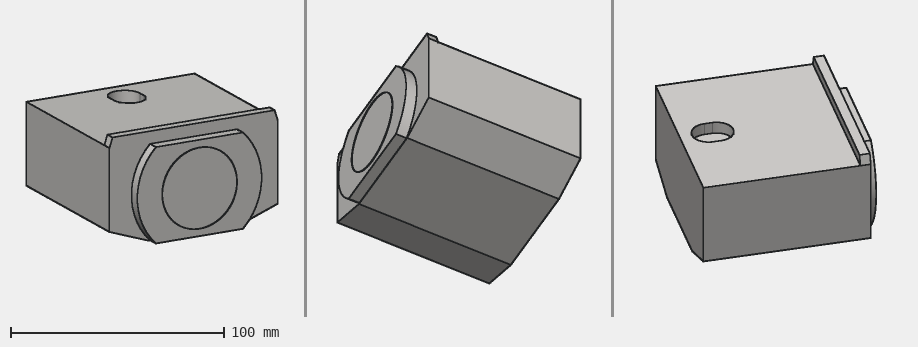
import cadquery as cq

body_length = 81.0
body_width = 90.0
body_height = 49.0

bevel_height = 7.65
bevel_width = 21.3

lip_thickness = 5.0
lip_height = 5.0
lip_end_taper = 1.65

total_length = 87.0
disc_thickness = 0.3
disc_diameter = 40.01
boss_length = total_length - body_length - disc_thickness
boss_diameter = 66.5
boss_height = 47.5
boss_bottom = 0.25
boss_center_z = boss_bottom + boss_height / 2

slot_length = 20.0
slot_width = 16.0
slot_depth = 6.0
slot_center_x = 16.0


def make_body():
    """Block with both lower long edges bevelled."""
    half_width = body_width / 2
    half_bottom = half_width - bevel_width
    outline = [
        (-half_bottom, 0),
        (half_bottom, 0),
        (half_width, bevel_height),
        (half_width, body_height),
        (-half_width, body_height),
        (-half_width, bevel_height),
    ]
    return cq.Workplane("YZ").polyline(outline).close().extrude(body_length)


def make_lip():
    """Raised bar, narrower at its top than at its foot."""
    half_foot = body_width / 2
    half_top = half_foot - lip_end_taper
    lip_top = body_height + lip_height
    outline = [
        (-half_foot, body_height),
        (half_foot, body_height),
        (half_top, lip_top),
        (-half_top, lip_top),
    ]
    lip_plane = cq.Workplane("YZ", origin=(body_length - lip_thickness, 0, 0))
    return lip_plane.polyline(outline).close().extrude(lip_thickness)


def make_boss():
    """Cylinder along X trimmed by two horizontal flats."""
    boss_plane = cq.Workplane("YZ", origin=(body_length, 0, boss_center_z))
    cylinder = boss_plane.circle(boss_diameter / 2).extrude(boss_length)
    flat_limits = boss_plane.rect(boss_diameter, boss_height).extrude(boss_length)
    return cylinder.intersect(flat_limits)


def make_disc():
    """Thin disc on the end of the boss, concentric with it."""
    disc_plane = cq.Workplane("YZ", origin=(body_length + boss_length, 0, boss_center_z))
    return disc_plane.circle(disc_diameter / 2).extrude(disc_thickness)


def make_slot():
    """Cutter for the slot in the top face."""
    slot_plane = cq.Workplane("XY", origin=(slot_center_x, 0, body_height))
    return slot_plane.slot2D(slot_length, slot_width).extrude(-slot_depth)


result = make_body().union(make_lip()).union(make_boss()).union(make_disc()).cut(make_slot())